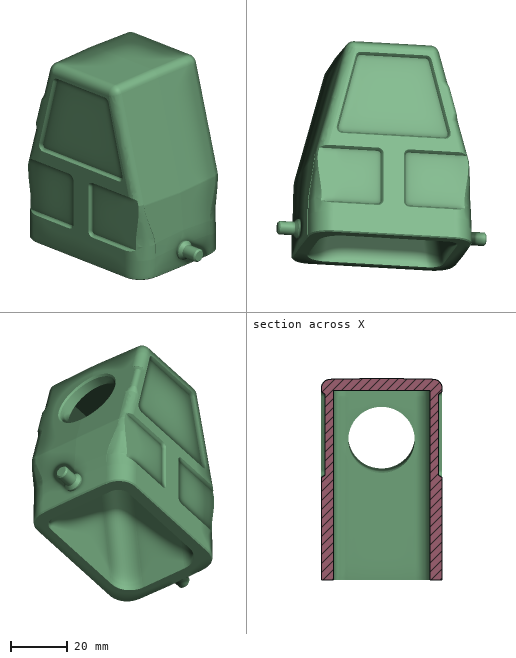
import cadquery as cq
import math

LENGTH_OVER_PINS = 75.3
DEPTH = 43.0
HEIGHT = 71.75
BASE_LENGTH = 59.8
HALF_DEPTH = DEPTH / 2

SKIRT_TOP = 11.5
LOWER_SLOPE = math.tan(math.radians(5.0))
UPPER_SLOPE = math.tan(math.radians(15.3))
KINK_Z = 28.3
SKIRT_BLEND_RADIUS = 60.2
KINK_X = BASE_LENGTH / 2 - LOWER_SLOPE * (KINK_Z - SKIRT_TOP)

DRAFT = HALF_DEPTH * math.tan(math.radians(1.0))
EXTRA_LOWER_DRAFT = 0.11
LOWER_DRAFT = DRAFT + EXTRA_LOWER_DRAFT

KINK_RADIUS = 2.25
TOP_RADIUS = 3.3
SKIRT_RADIUS = 7.5
BOTTOM_CHAMFER = 0.45

BLEND_STATIONS = 6

ENTRY_Z = 51.2
ENTRY_DIAMETER = 23.6
ENTRY_CHAMFER = 0.75
ENTRY_BORE_LENGTH = 10.55

RIDGE_RADIUS = 1.7
RIDGE_LENGTH = 9.9
RIDGE_RUNOUT = 2.4

POCKET_DEPTH = 1.3
POCKET_FLARE = 0.8
POCKET_CORNER_RADIUS = 2.0
LOWER_POCKET_BOTTOM = 10.7
LOWER_POCKET_TOP = 31.85
LOWER_POCKET_GAP = 7.4
UPPER_POCKET_BOTTOM = 36.5
UPPER_POCKET_TOP = 66.85
UPPER_POCKET_TOP_LENGTH = 26.65
UPPER_POCKET_BOTTOM_LENGTH = 42.45

PIN_Z = 6.55
PIN_DIAMETER = 4.8
PIN_CHAMFER = 0.5
COLLAR_DIAMETER = 7.0
COLLAR_END = 30.65
COLLAR_CONE_END = 31.8

WALL = 4.5
CAVITY_ENTRY_CORNER_RADIUS = 4.5
CAVITY_FAR_CORNER_RADIUS = 7.9
CAVITY_SLOPE = math.tan(math.radians(9.0))
CAVITY_TOP_LENGTH = 28.3

OVERLAP = 0.75
BEYOND = 7.5


def at_both_ends(shape):
    return shape.union(shape.mirror("YZ"))


def on_both_sides(shape):
    return shape.union(shape.mirror("XZ"))


def lower_wall_x(z, draft=0.0):
    """Half length of the lower slope at a height."""
    return BASE_LENGTH / 2 - draft - LOWER_SLOPE * (z - SKIRT_TOP)


def upper_wall_x(z, draft=0.0):
    """Half length of the upper slope at a height."""
    return KINK_X - draft - UPPER_SLOPE * (z - KINK_Z)


def drafted_half(middle, side):
    """Loft the -Y half between the outlines at Y = 0 and at the side face."""
    loft = cq.Solid.makeLoft([middle, side.translate(cq.Vector(0, -HALF_DEPTH, 0))], True)
    return cq.Workplane(loft)


def upper_outline(draft):
    """Upper slopes and top, carried on below the base."""
    top = HEIGHT - draft
    foot_x = upper_wall_x(-BEYOND, draft)
    top_x = upper_wall_x(top, draft)
    corners = [(foot_x, -BEYOND), (top_x, top), (-top_x, top), (-foot_x, -BEYOND)]
    return cq.Workplane("XZ").polyline(corners).close().val()


def lower_outline(skirt_draft, slope_draft):
    """Skirt and lower slope joined by a tangent arc, carried on past the top."""
    skirt_x = BASE_LENGTH / 2 - skirt_draft
    crease_z = SKIRT_TOP - (slope_draft - skirt_draft) / LOWER_SLOPE
    slope_angle = math.atan(LOWER_SLOPE)
    arc_start_z = crease_z - SKIRT_BLEND_RADIUS * math.tan(slope_angle / 2)
    top = HEIGHT + BEYOND
    top_x = lower_wall_x(top, slope_draft)

    def arc_point(angle):
        x = skirt_x - SKIRT_BLEND_RADIUS * (1 - math.cos(angle))
        return x, arc_start_z + SKIRT_BLEND_RADIUS * math.sin(angle)

    def mirrored(point):
        return -point[0], point[1]

    outline = (
        cq.Workplane("XZ")
        .moveTo(skirt_x, 0)
        .lineTo(skirt_x, arc_start_z)
        .threePointArc(arc_point(slope_angle / 2), arc_point(slope_angle))
        .lineTo(top_x, top)
        .lineTo(-top_x, top)
        .lineTo(*mirrored(arc_point(slope_angle)))
        .threePointArc(mirrored(arc_point(slope_angle / 2)), (-skirt_x, arc_start_z))
        .lineTo(-skirt_x, 0)
    )
    return outline.close().val()


def corner_section(edge_point, inward_x, inward_y, radius):
    """Waste outside a corner arc; the inward directions run along the two walls."""
    def at(a, b):
        return edge_point + inward_x * a + inward_y * b

    arc_middle = radius * (1 - math.sqrt(0.5))
    points = [
        at(radius, 0),
        at(radius, -OVERLAP),
        at(-OVERLAP, -OVERLAP),
        at(-OVERLAP, radius),
        at(0, radius),
    ]
    edges = [cq.Edge.makeLine(start, end) for start, end in zip(points, points[1:])]
    edges.append(cq.Edge.makeThreePointArc(points[-1], at(arc_middle, arc_middle), points[0]))
    return cq.Wire.assembleEdges(edges)


def skirt_corner_waste():
    """Corner waste at +X, -Y: a wide skirt radius that eases into the tighter one at the kink."""
    skirt_x = BASE_LENGTH / 2 - DRAFT
    crease_z = SKIRT_TOP - EXTRA_LOWER_DRAFT / LOWER_SLOPE
    blend_length = SKIRT_BLEND_RADIUS * math.tan(math.atan(LOWER_SLOPE) / 2)
    blend_start = crease_z + blend_length
    kink_z = KINK_Z + EXTRA_LOWER_DRAFT / (UPPER_SLOPE - LOWER_SLOPE)
    top = HEIGHT + 2 * BEYOND

    def section(z, radius):
        x = min(skirt_x, lower_wall_x(z, LOWER_DRAFT))
        return corner_section(cq.Vector(x, -HALF_DEPTH, z), cq.Vector(-1, 0, 0), cq.Vector(0, 1, 0), radius)

    def blend_section(share):
        eased = share * share * (3 - 2 * share)
        radius = SKIRT_RADIUS + (TOP_RADIUS - SKIRT_RADIUS) * eased
        return section(blend_start + (kink_z - blend_start) * share, radius)

    skirt_heights = [-OVERLAP, crease_z - blend_length, blend_start]
    skirt = cq.Solid.makeLoft([section(z, SKIRT_RADIUS) for z in skirt_heights], True)
    shares = [step / (BLEND_STATIONS - 1) for step in range(BLEND_STATIONS)]
    blend = cq.Solid.makeLoft([blend_section(share) for share in shares])
    above = cq.Solid.makeLoft([section(kink_z, TOP_RADIUS), section(top, TOP_RADIUS)], True)
    return [skirt, blend, above]


def lower_hull():
    """Skirt and lower slopes with their rounded corners, taller than the hood."""
    half = drafted_half(lower_outline(0, 0), lower_outline(DRAFT, LOWER_DRAFT))
    for solid in skirt_corner_waste():
        waste = cq.Workplane(solid)
        half = half.cut(waste).cut(waste.mirror("YZ"))
    return on_both_sides(half)


def soften_kinks(hull):
    """Round the shallow edges where the upper and lower slopes of each end meet."""
    reach = cq.Vector(BASE_LENGTH / 2, HALF_DEPTH / 2, KINK_RADIUS)
    middle = cq.Vector(0, 0, KINK_Z)
    around_kinks = cq.selectors.BoxSelector(
        (middle - reach).toTuple(),
        (middle + reach).toTuple(),
    )
    return hull.edges(around_kinks).fillet(KINK_RADIUS)


def ridge_tools():
    """Around the sharper stretch of the -X, -Y upper edge: its block and its corner waste."""
    foot = cq.Vector(-upper_wall_x(0, DRAFT), -HALF_DEPTH, 0)
    tip = cq.Vector(-upper_wall_x(HEIGHT, DRAFT), -HALF_DEPTH, HEIGHT)
    along = (tip - foot).normalized()
    inward_y = cq.Vector(0, 1, 0)
    inward_x = inward_y.cross(along)
    center = foot + (tip - foot) * (ENTRY_Z / HEIGHT)
    half_ridge = RIDGE_LENGTH / 2
    half_block = half_ridge + RIDGE_RUNOUT
    stations = [
        (-half_block, TOP_RADIUS),
        (-half_ridge, RIDGE_RADIUS),
        (half_ridge, RIDGE_RADIUS),
        (half_block, TOP_RADIUS),
    ]
    sections = [
        corner_section(center + along * offset, inward_x, inward_y, radius) for offset, radius in stations
    ]
    waste = cq.Workplane(cq.Solid.makeLoft(sections, True))
    block_side = 2 * (TOP_RADIUS + OVERLAP)
    block_base = cq.Plane(center - along * half_block, inward_x, along)
    block = cq.Workplane(block_base).rect(block_side, block_side).extrude(2 * half_block)
    return block, waste


def upper_hull():
    """Round the top and the sloped edges, but leave the ridges their smaller radius."""
    sharp = drafted_half(upper_outline(0), upper_outline(DRAFT))
    side_edges = sharp.faces("<Y").edges("not <Z")
    end_edges = sharp.faces(">Z").edges("<X or >X")
    rounded = sharp.newObject(side_edges.vals() + end_edges.vals()).fillet(TOP_RADIUS)
    ridge_block, ridge_waste = ridge_tools()
    waste = sharp.cut(rounded).cut(ridge_block)
    return on_both_sides(sharp.cut(waste).cut(ridge_waste))


def pin():
    """Collar, cone and pin of the +X end, turned about the X direction."""
    pin_radius = PIN_DIAMETER / 2
    collar_radius = COLLAR_DIAMETER / 2
    root = BASE_LENGTH / 2 - WALL / 2
    end = LENGTH_OVER_PINS / 2
    outline = [
        (root, 0),
        (root, collar_radius),
        (COLLAR_END, collar_radius),
        (COLLAR_CONE_END, pin_radius),
        (end - PIN_CHAMFER, pin_radius),
        (end, pin_radius - PIN_CHAMFER),
        (end, 0),
    ]
    turned = cq.Workplane("XZ").polyline(outline).close().revolve(360, (0, 0), (1, 0))
    return turned.translate((0, 0, PIN_Z))


def flared_pocket(points):
    """Pocket in the -Y side face, narrowing from its rounded mouth to its floor."""
    face = cq.Face.makeFromWires(cq.Workplane("XZ").polyline(points).close().val())
    outline = face.fillet2D(POCKET_CORNER_RADIUS, face.Vertices()).outerWire()
    mouth = outline.translate(cq.Vector(0, -HALF_DEPTH, 0))
    floor = outline.offset2D(-POCKET_FLARE)[0].translate(cq.Vector(0, POCKET_DEPTH - HALF_DEPTH, 0))
    return cq.Workplane(cq.Solid.makeLoft([mouth, floor], True))


def lower_pocket():
    inner_x = LOWER_POCKET_GAP / 2
    outer_x = BASE_LENGTH / 2 + BEYOND
    return flared_pocket([
        (inner_x, LOWER_POCKET_BOTTOM),
        (outer_x, LOWER_POCKET_BOTTOM),
        (outer_x, LOWER_POCKET_TOP),
        (inner_x, LOWER_POCKET_TOP),
    ])


def upper_pocket():
    top_x = UPPER_POCKET_TOP_LENGTH / 2
    bottom_x = UPPER_POCKET_BOTTOM_LENGTH / 2
    return flared_pocket([
        (-bottom_x, UPPER_POCKET_BOTTOM),
        (bottom_x, UPPER_POCKET_BOTTOM),
        (top_x, UPPER_POCKET_TOP),
        (-top_x, UPPER_POCKET_TOP),
    ])


def cavity():
    """Open underneath and narrowing upward between the end walls."""
    top = HEIGHT - WALL
    top_x = CAVITY_TOP_LENGTH / 2
    mouth_x = top_x + CAVITY_SLOPE * top
    return (
        cq.Workplane("XZ")
        .polyline([(mouth_x, 0), (top_x, top), (-top_x, top), (-mouth_x, 0)])
        .close()
        .extrude(HALF_DEPTH - WALL, both=True)
        .faces("<X")
        .edges("not |Y")
        .fillet(CAVITY_ENTRY_CORNER_RADIUS)
        .faces(">X")
        .edges("not |Y")
        .fillet(CAVITY_FAR_CORNER_RADIUS)
    )


def cable_entry():
    """Round opening square to the upper slope of the -X end, chamfered outside."""
    angle = math.atan(UPPER_SLOPE)
    mouth = cq.Vector(-upper_wall_x(ENTRY_Z), 0, ENTRY_Z)
    inward = cq.Vector(math.cos(angle), 0, -math.sin(angle))
    plane = cq.Plane(mouth - inward * OVERLAP, cq.Vector(0, 1, 0), inward)
    radius = ENTRY_DIAMETER / 2
    bore = cq.Workplane(plane).circle(radius).extrude(ENTRY_BORE_LENGTH)
    cone = cq.Solid.makeCone(
        radius + ENTRY_CHAMFER + OVERLAP, radius, ENTRY_CHAMFER + OVERLAP, plane.origin, inward
    )
    return bore.union(cq.Workplane(cone))


hood = soften_kinks(upper_hull().intersect(lower_hull()))
hood = hood.faces("<Z").edges().chamfer(BOTTOM_CHAMFER)
hood = hood.cut(on_both_sides(at_both_ends(lower_pocket())))
hood = hood.cut(on_both_sides(upper_pocket()))
hood = hood.cut(cavity()).cut(cable_entry())
result = hood.union(at_both_ends(pin()))